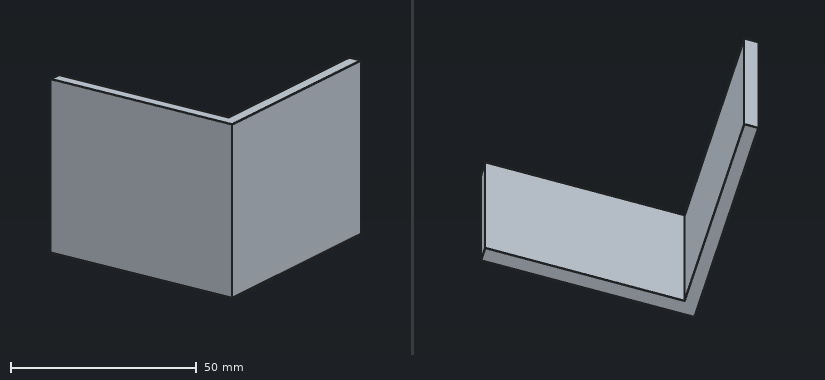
import cadquery as cq

leg_length = 60.0
thickness = 4.0
height = 50.0

inner_length = leg_length - thickness

result = (
    cq.Workplane("XY")
    .moveTo(0, 0)
    .lineTo(leg_length, 0)
    .lineTo(leg_length, leg_length)
    .lineTo(inner_length, leg_length)
    .lineTo(inner_length, thickness)
    .lineTo(0, thickness)
    .close()
    .extrude(height)
)